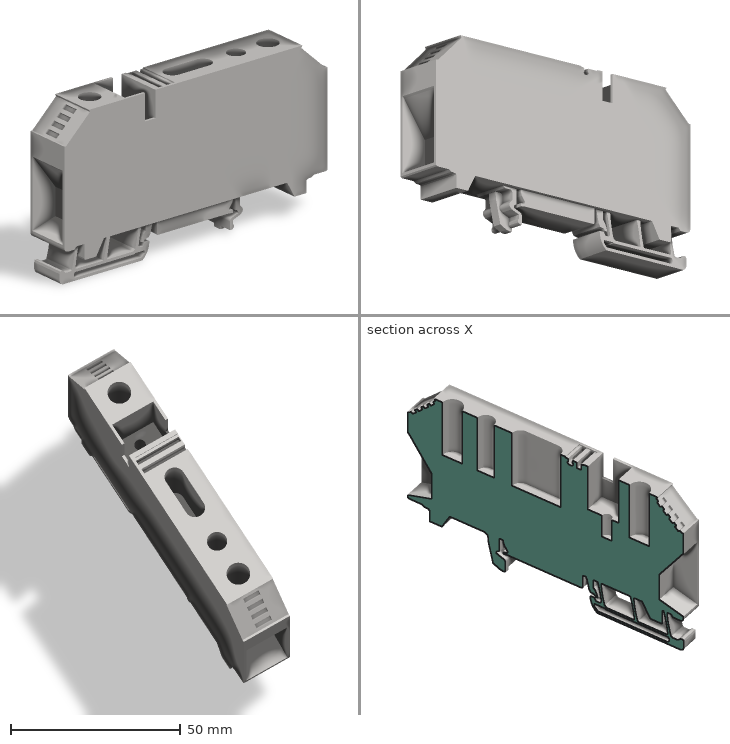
import cadquery as cq
import math

WIDTH = 16.0
HALF_WIDTH = WIDTH / 2
TOP_Z = 54.25
BASE_Z = 11.85
BACK_Y = 50.0
FRONT_Y = -49.8
FOOT_FRONT_Y = -50.0
WALL = 0.9
POCKET_WIDTH = WIDTH - 2 * WALL

SHOULDER_Z = 44.85
SHOULDER_LEDGE = 0.7
LIP_Y = 40.5
LIP_UNDERCUT = 0.4
LIP_HEIGHT = 0.75

VENT_COUNT = 4
VENT_LENGTH = 5.3
VENT_WIDTH = 1.65
VENT_DEPTH = 0.8
VENT_PITCH = 3.0
VENT_CENTRE_SHIFT = 0.1

SCREW_Y = 33.8
SCREW_DIAMETER = 7.0
TEST_HOLE_Y = 21.7
TEST_HOLE_DIAMETER = 6.0
SLOT_Y = 3.4
SLOT_WIDTH = 6.0
SLOT_LENGTH = 17.5
TOP_HOLE_DEPTH = 20.0

NOTCH_BACK_Y = -15.25
NOTCH_FRONT_Y = -19.25
NOTCH_FLOOR_Z = 45.15
POCKET_FRONT_Y = -26.2
POCKET_FLOOR_Z = 38.0
POCKET_HOLE_Y = -22.0
POCKET_HOLE_DIAMETER = 3.4
POCKET_HOLE_DEPTH = 8.0

TRACK_END_X = 7.1
TRACK_BACK_Y = -7.1
TRACK_FRONT_Y = -13.7
TRACK_DEPTH = 0.3
KEYWAY_Y = -8.9
KEYWAY_MOUTH = 1.8
KEYWAY_NECK = 1.2
KEYWAY_BULB = 2.1
KEYWAY_DEPTH = 2.4
KEYWAY_BULB_DEPTH = 1.8
RIB_GROOVE_START_X = -7.7
RIB_GROOVE_BACK_Y = -11.3
RIB_GROOVE_FRONT_Y = -12.8
RIB_GROOVE_DEPTH = KEYWAY_DEPTH

FUNNEL_DEPTH = 8.7
FUNNEL_MOUTH_TOP_Z = 36.9
FUNNEL_MOUTH_BOTTOM_Z = 13.2
FUNNEL_LIP_DROP = 0.6
FUNNEL_BACK_TOP_Z = 25.1
FUNNEL_BACK_BOTTOM_Z = 15.7

FOOT_PAD_Z = 6.7
BACK_CORNER_CHAMFER = 0.4
RAIL_BLOCK_WIDTH = 13.0
CLIP_WIDTH = 12.0
CLIP_CORE_WIDTH = 3.0
OVERLAP = 0.5
ROOT_Z = BASE_Z + OVERLAP

LEG_WIDTH = 1.35
LEG_LEAN = 1.45
LEG_BOW = 0.2
FOOT_TOP_Z = 3.7
LEG_TOP_Y = (-18.7, -30.5, -42.55)

FOOT_TIP_Z = 5.5
FOOT_CATCH_Z = 4.45
FOOT_VALLEY_Z = 3.4
FOOT_NOSE_Z = 4.35
FOOT_SLOT_TOP_Z = 2.75
FOOT_SLOT_BOTTOM_Z = 0.95


def prism(profile, width):
    """Extrude a YZ profile symmetrically about X = 0."""
    return profile.extrude(width / 2, both=True)


def outline(points):
    return cq.Workplane("YZ").polyline(points).close()


def box(x_range, y_range, z_range):
    """Box from its (low, high) extents along each axis."""
    lows, highs = zip(x_range, y_range, z_range)
    size = [high - low for low, high in zip(lows, highs)]
    return cq.Workplane("XY").box(*size, centered=False).translate(lows)


def housing():
    """Main body with sloped shoulders and two feet under the base."""
    neck_y = LIP_Y - LIP_UNDERCUT
    neck_z = TOP_Z - LIP_HEIGHT
    profile = (
        cq.Workplane("YZ")
        .moveTo(-LIP_Y, TOP_Z)
        .lineTo(LIP_Y, TOP_Z)
        .lineTo(neck_y, neck_z)
        .lineTo(BACK_Y - SHOULDER_LEDGE, SHOULDER_Z)
        .lineTo(BACK_Y, SHOULDER_Z)
        .lineTo(BACK_Y, BASE_Z + BACK_CORNER_CHAMFER)
        .lineTo(BACK_Y - BACK_CORNER_CHAMFER, BASE_Z)
        .lineTo(44.9, BASE_Z)
        .lineTo(44.0, 11.25)
        .lineTo(42.5, 11.15)
        .lineTo(42.1, 10.8)
        .lineTo(42.1, FOOT_PAD_Z)
        .lineTo(37.5, FOOT_PAD_Z)
        .lineTo(34.7, BASE_Z)
        .lineTo(-34.75, BASE_Z)
        .lineTo(-37.7, FOOT_PAD_Z)
        .lineTo(-42.0, FOOT_PAD_Z)
        .lineTo(-42.2, 7.25)
        .lineTo(-42.2, BASE_Z)
        .lineTo(-45.2, BASE_Z)
        .lineTo(-45.95, 11.0)
        .lineTo(-48.4, 11.0)
        .threePointArc((-49.35, 11.4), (FRONT_Y, 12.45))
        .lineTo(FRONT_Y, SHOULDER_Z)
        .lineTo(FRONT_Y + SHOULDER_LEDGE, SHOULDER_Z)
        .lineTo(-neck_y, neck_z)
        .close()
    )
    return prism(profile, WIDTH)


def vent_cutters(end):
    """Row of slots square to the shoulder slope; end is +1 (back) or -1 (front)."""
    upper = (LIP_Y - LIP_UNDERCUT, TOP_Z - LIP_HEIGHT)
    end_y = BACK_Y if end > 0 else -FRONT_Y
    lower = (end_y - SHOULDER_LEDGE, SHOULDER_Z)
    fall = math.degrees(math.atan2(upper[1] - lower[1], lower[0] - upper[0]))
    middle_y = (upper[0] + lower[0]) / 2
    middle_z = (upper[1] + lower[1]) / 2
    row = (
        cq.Workplane("XY")
        .center(0, VENT_CENTRE_SHIFT)
        .rarray(1, VENT_PITCH, 1, VENT_COUNT)
        .rect(VENT_LENGTH, VENT_WIDTH)
        .extrude(VENT_DEPTH, both=True)
        .rotate((0, 0, 0), (1, 0, 0), -fall)
        .translate((0, middle_y, middle_z))
    )
    return row if end > 0 else row.mirror("XZ")


def top_hole_cutters():
    def shaft(y, diameter):
        return cq.Workplane("XY", origin=(0, y, TOP_Z)).circle(diameter / 2).extrude(-TOP_HOLE_DEPTH)

    slot = (
        cq.Workplane("XY", origin=(0, SLOT_Y, TOP_Z))
        .slot2D(SLOT_LENGTH, SLOT_WIDTH, angle=90)
        .extrude(-TOP_HOLE_DEPTH)
    )
    return [
        shaft(SCREW_Y, SCREW_DIAMETER),
        shaft(-SCREW_Y, SCREW_DIAMETER),
        shaft(TEST_HOLE_Y, TEST_HOLE_DIAMETER),
        slot,
    ]


def disconnect_pocket_cutters():
    half_pocket = POCKET_WIDTH / 2
    notch = box((-HALF_WIDTH, HALF_WIDTH), (NOTCH_FRONT_Y, NOTCH_BACK_Y), (NOTCH_FLOOR_Z, TOP_Z))
    pocket = box((-half_pocket, half_pocket), (POCKET_FRONT_Y, NOTCH_BACK_Y), (POCKET_FLOOR_Z, TOP_Z))
    hole = (
        cq.Workplane("XY", origin=(0, POCKET_HOLE_Y, POCKET_FLOOR_Z))
        .circle(POCKET_HOLE_DIAMETER / 2)
        .extrude(-POCKET_HOLE_DEPTH)
    )
    return [notch, pocket, hole]


def marker_track_cutters():
    recess = box(
        (-HALF_WIDTH, TRACK_END_X), (TRACK_FRONT_Y, TRACK_BACK_Y), (TOP_Z - TRACK_DEPTH, TOP_Z)
    )
    groove = box(
        (RIB_GROOVE_START_X, TRACK_END_X),
        (RIB_GROOVE_FRONT_Y, RIB_GROOVE_BACK_Y),
        (TOP_Z - RIB_GROOVE_DEPTH, TOP_Z),
    )
    neck_z = TOP_Z - KEYWAY_DEPTH / 2
    bulb_z = TOP_Z - KEYWAY_BULB_DEPTH
    floor_z = TOP_Z - KEYWAY_DEPTH
    half_profile = [
        (KEYWAY_MOUTH / 2, TOP_Z),
        (KEYWAY_NECK / 2, neck_z),
        (KEYWAY_BULB / 2, bulb_z),
        (KEYWAY_NECK / 2, floor_z),
    ]
    right = [(KEYWAY_Y + half, z) for half, z in half_profile]
    left = [(KEYWAY_Y - half, z) for half, z in reversed(half_profile)]
    keyway = outline(right + left).extrude(HALF_WIDTH + TRACK_END_X).translate((-HALF_WIDTH, 0, 0))
    return [recess, groove, keyway]


def wire_funnel_cutter(end):
    """Tapered wire entry; end is +1 (back) or -1 (front)."""
    mouth_y = BACK_Y if end > 0 else -FRONT_Y
    inner_y = mouth_y - FUNNEL_DEPTH
    points = [
        (mouth_y, FUNNEL_MOUTH_BOTTOM_Z),
        (mouth_y, FUNNEL_MOUTH_TOP_Z),
        (mouth_y - FUNNEL_LIP_DROP, FUNNEL_MOUTH_TOP_Z - FUNNEL_LIP_DROP),
        (inner_y, FUNNEL_BACK_TOP_Z),
        (inner_y, FUNNEL_BACK_BOTTOM_Z),
    ]
    return prism(outline([(end * y, z) for y, z in points]), POCKET_WIDTH)


def rail_block():
    points = [
        (15.4, ROOT_Z),
        (15.4, 11.0),
        (15.05, 10.0),
        (13.85, 8.3),
        (14.0, 7.65),
        (15.4, 7.65),
        (15.4, 6.7),
        (13.7, 6.9),
        (-13.1, 6.9),
        (-13.4, 7.2),
        (-13.4, ROOT_Z),
    ]
    return prism(outline(points), RAIL_BLOCK_WIDTH)


def rear_clip():
    """Full-width snap strip with a narrow core filling it out on its back side."""
    strip = (
        cq.Workplane("YZ")
        .moveTo(22.0, ROOT_Z)
        .lineTo(22.0, BASE_Z)
        .lineTo(21.2, 11.25)
        .lineTo(19.2, 11.25)
        .threePointArc((18.6, 10.95), (18.35, 10.3))
        .lineTo(18.35, 8.2)
        .lineTo(19.3, 7.2)
        .threePointArc((19.5, 6.5), (19.2, 5.8))
        .lineTo(18.6, 5.2)
        .lineTo(15.75, 4.15)
        .lineTo(15.75, 3.0)
        .lineTo(16.1, 2.4)
        .lineTo(16.05, 1.7)
        .threePointArc((15.3, 1.2), (14.6, 1.2))
        .lineTo(14.6, 4.0)
        .threePointArc((14.75, 4.5), (15.2, 4.9))
        .lineTo(17.8, 5.9)
        .threePointArc((17.5, 6.7), (16.8, 7.0))
        .lineTo(16.8, ROOT_Z)
        .close()
    )
    core = outline([
        (21.0, ROOT_Z),
        (21.0, 10.8),
        (20.85, 8.9),
        (19.15, 1.5),
        (16.7, 0.3),
        (15.6, 0.05),
        (14.6, 0.05),
        (14.6, 4.0),
        (17.8, 5.5),
        (17.8, ROOT_Z),
    ])
    return prism(strip, CLIP_WIDTH).union(prism(core, CLIP_CORE_WIDTH))


def rail_hook():
    points = [
        (-14.45, ROOT_Z),
        (-14.45, BASE_Z),
        (-14.8, 11.0),
        (-15.55, 7.75),
        (-16.15, 6.8),
        (-17.6, 6.5),
        (-18.1, 5.85),
        (-18.9, 5.85),
        (-18.6, 7.0),
        (-18.0, 8.3),
        (-17.3, 9.1),
        (-17.15, ROOT_Z),
    ]
    return prism(outline(points), CLIP_WIDTH)


def foot_leg(top_y):
    """Waisted leaf joining the foot to the housing."""
    toe_y = top_y - LEG_LEAN
    middle_y = (top_y + toe_y) / 2
    middle_z = (BASE_Z + FOOT_TOP_Z) / 2
    toe_z = FOOT_TOP_Z - OVERLAP
    profile = (
        cq.Workplane("YZ")
        .moveTo(top_y, ROOT_Z)
        .lineTo(top_y, BASE_Z)
        .threePointArc((middle_y - LEG_BOW, middle_z), (toe_y, FOOT_TOP_Z))
        .lineTo(toe_y, toe_z)
        .lineTo(toe_y - LEG_WIDTH, toe_z)
        .lineTo(toe_y - LEG_WIDTH, FOOT_TOP_Z)
        .threePointArc((middle_y - LEG_WIDTH + LEG_BOW, middle_z), (top_y - LEG_WIDTH, BASE_Z))
        .lineTo(top_y - LEG_WIDTH, ROOT_Z)
        .close()
    )
    return prism(profile, CLIP_WIDTH)


def rail_foot():
    """Slotted snap-in foot with a raised nose, hung from the housing on its legs."""
    bar = (
        cq.Workplane("YZ")
        .moveTo(-15.95, FOOT_TIP_Z)
        .lineTo(-17.65, FOOT_TIP_Z)
        .lineTo(-18.2, FOOT_CATCH_Z)
        .lineTo(-19.5, FOOT_CATCH_Z)
        .lineTo(-20.2, 5.2)
        .lineTo(-21.5, 4.2)
        .lineTo(-22.0, FOOT_TOP_Z)
        .lineTo(-43.7, FOOT_TOP_Z)
        .lineTo(-45.2, 4.15)
        .threePointArc((-45.43, 3.63), (-45.95, FOOT_VALLEY_Z))
        .lineTo(-47.65, FOOT_VALLEY_Z)
        .lineTo(-48.8, FOOT_NOSE_Z)
        .lineTo(-49.8, FOOT_NOSE_Z)
        .lineTo(FOOT_FRONT_Y, 3.6)
        .lineTo(FOOT_FRONT_Y, 1.75)
        .threePointArc((-49.65, 0.6), (-48.9, 0.0))
        .lineTo(-18.6, 0.0)
        .threePointArc((-16.6, 2.5), (-15.95, FOOT_TIP_Z))
        .close()
    )
    slot = (
        cq.Workplane("YZ")
        .moveTo(-17.65, 3.0)
        .lineTo(-21.4, 3.0)
        .lineTo(-21.5, FOOT_SLOT_TOP_Z)
        .lineTo(-44.0, FOOT_SLOT_TOP_Z)
        .threePointArc((-44.55, (FOOT_SLOT_TOP_Z + FOOT_SLOT_BOTTOM_Z) / 2), (-44.0, FOOT_SLOT_BOTTOM_Z))
        .lineTo(-18.8, FOOT_SLOT_BOTTOM_Z)
        .lineTo(-17.65, 2.1)
        .close()
    )
    foot = prism(bar, CLIP_WIDTH).cut(prism(slot, CLIP_WIDTH))
    for top_y in LEG_TOP_Y:
        foot = foot.union(foot_leg(top_y))
    return foot


def terminal_block():
    body = housing()
    cutters = top_hole_cutters() + disconnect_pocket_cutters() + marker_track_cutters()
    for end in (1, -1):
        cutters += [vent_cutters(end), wire_funnel_cutter(end)]
    for cutter in cutters:
        body = body.cut(cutter)
    for rail_part in (rail_block(), rear_clip(), rail_hook(), rail_foot()):
        body = body.union(rail_part)
    return body


result = terminal_block()